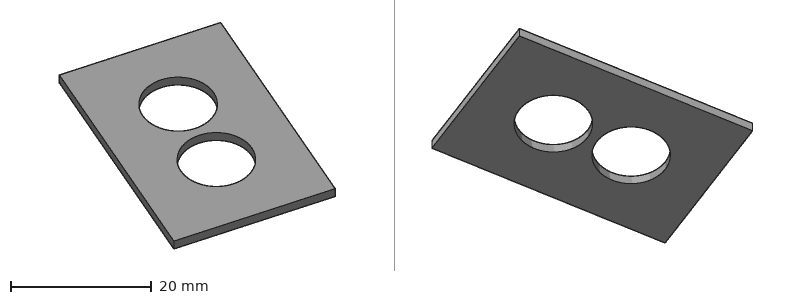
import cadquery as cq

length = 38.1
width = 25.4
thickness = 1.55

hole_diameter = 11.15
hole_spacing = length / 3

plate = cq.Workplane("XY").box(length, width, thickness)

result = (
    plate.faces(">Z")
    .workplane()
    .pushPoints([(-hole_spacing / 2, 0), (hole_spacing / 2, 0)])
    .hole(hole_diameter)
)